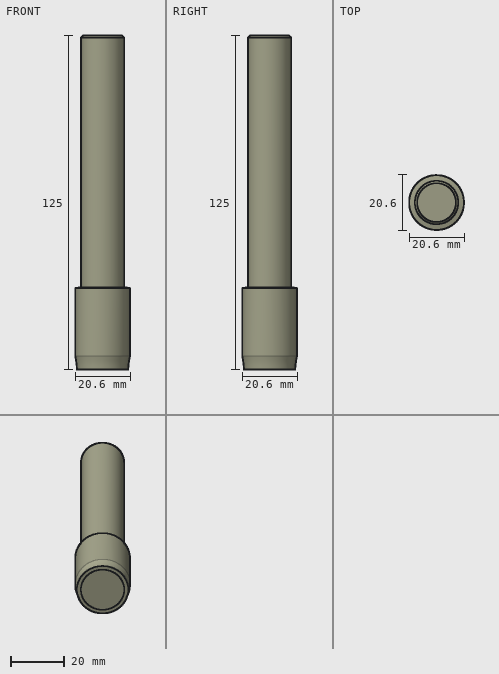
import cadquery as cq

total_length = 125.0
pin_diameter = 16.2
pin_chamfer = 0.9

sleeve_diameter = 20.6
sleeve_edge_height = 30.5
shoulder_rise = 0.4
lead_in_height = 5.1
lead_in_end_diameter = 19.2
lead_in_hollow = 0.1

pin_radius = pin_diameter / 2
sleeve_radius = sleeve_diameter / 2
lead_in_end_radius = lead_in_end_diameter / 2


def make_pin():
    """Full-length bar standing on the XY plane."""
    bar = cq.Workplane("XY").circle(pin_radius).extrude(total_length)
    return bar.faces(">Z").chamfer(pin_chamfer)


def make_sleeve():
    """Revolved collar with a sloping shoulder and a slightly hollow lead-in at the bottom."""
    lead_in_middle_radius = (sleeve_radius + lead_in_end_radius) / 2 - lead_in_hollow
    profile = (
        cq.Workplane("XZ")
        .moveTo(pin_radius, 0)
        .lineTo(lead_in_end_radius, 0)
        .threePointArc((lead_in_middle_radius, lead_in_height / 2), (sleeve_radius, lead_in_height))
        .lineTo(sleeve_radius, sleeve_edge_height)
        .lineTo(pin_radius, sleeve_edge_height + shoulder_rise)
        .close()
    )
    return profile.revolve(360, (0, 0, 0), (0, 1, 0))


pin = make_pin()
sleeve = make_sleeve()

result = cq.Compound.makeCompound([pin.val(), sleeve.val()])